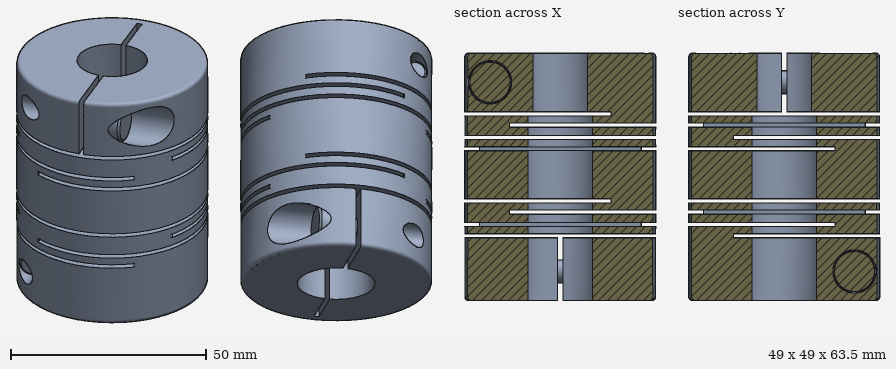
import cadquery as cq

OUTER_DIAMETER = 49.0
LENGTH = 63.5
RIM_FILLET = 1.0
UPPER_BORE_DIAMETER = 18.0
LOWER_BORE_DIAMETER = 20.0

CUT_THICKNESS = 1.0
CUT_PITCH = 2.9
AXIS_CHANGE_PITCH = 3.15
WEB_FACE_OFFSET = 13.0
UPPER_HUB_LENGTH = 15.1
LOWER_HUB_LENGTH = 16.15

SLOT_WIDTH = 1.3
SLOT_END_OFFSET = 21.5

SCREW_OFFSET = 18.0
SCREW_END_DISTANCE = 7.5
SCREW_DIAMETER = 6.0
SHANK_LENGTH = 16.4
TIP_CHAMFER = 0.6
HEAD_DIAMETER = 10.4
HEAD_HEIGHT = 6.0
HEAD_CHAMFER = 0.6
COUNTERBORE_DIAMETER = 11.0
COUNTERBORE_FLOOR = 3.85

OUTER_RADIUS = OUTER_DIAMETER / 2
UPPER_HUB_BOTTOM = LENGTH - UPPER_HUB_LENGTH
CUT_LEVELS = (
    0,
    CUT_PITCH,
    CUT_PITCH + AXIS_CHANGE_PITCH,
    2 * CUT_PITCH + AXIS_CHANGE_PITCH,
)
UPPER_GROUP_BOTTOM = UPPER_HUB_BOTTOM - CUT_THICKNESS - CUT_LEVELS[-1]

WEB_AT_PLUS_X = 0
WEB_AT_PLUS_Y = 90
WEB_AT_MINUS_X = 180
WEB_AT_MINUS_Y = 270
LOWER_WEBS = (WEB_AT_PLUS_X, WEB_AT_MINUS_X, WEB_AT_MINUS_Y, WEB_AT_PLUS_Y)
UPPER_WEBS = (WEB_AT_MINUS_X, WEB_AT_PLUS_X, WEB_AT_MINUS_Y, WEB_AT_PLUS_Y)


def make_body():
    """Round body with filleted rims and a bore that steps at the upper hub."""
    body = cq.Workplane("XY").circle(OUTER_RADIUS).extrude(LENGTH)
    body = body.edges().fillet(RIM_FILLET)
    lower_bore = cq.Workplane("XY").circle(LOWER_BORE_DIAMETER / 2).extrude(UPPER_HUB_BOTTOM)
    upper_bore = cq.Workplane("XY").circle(UPPER_BORE_DIAMETER / 2).extrude(LENGTH)
    return body.cut(lower_bore).cut(upper_bore)


def flexure_cut(bottom, web_angle):
    """Flat cut across the body; its web lies at web_angle degrees from +X."""
    depth = OUTER_RADIUS + WEB_FACE_OFFSET
    return (
        cq.Workplane("XY")
        .box(depth, OUTER_DIAMETER, CUT_THICKNESS, centered=(False, True, False))
        .translate((-OUTER_RADIUS, 0, bottom))
        .rotate((0, 0, 0), (0, 0, 1), web_angle)
    )


def cut_flexures(body, group_bottom, web_angles):
    """Cut two opposed pairs, listed upwards; the pairs are at right angles."""
    for level, web_angle in zip(CUT_LEVELS, web_angles):
        body = body.cut(flexure_cut(group_bottom + level, web_angle))
    return body


def clamp_slot(bottom, height):
    """Radial slot open at -Y, running through the bore to a blind end at +Y."""
    return (
        cq.Workplane("XY")
        .box(SLOT_WIDTH, OUTER_RADIUS + SLOT_END_OFFSET, height, centered=(True, False, False))
        .translate((0, -OUTER_RADIUS, bottom))
    )


def rod_along_x(diameter, start, length, height):
    """Cylinder on the screw axis, running towards +X from start."""
    return (
        cq.Workplane("YZ", origin=(start, -SCREW_OFFSET, height))
        .circle(diameter / 2)
        .extrude(length)
    )


def screw_hole(height):
    """Through hole for the shank with a counterbore open at +X."""
    shank_hole = rod_along_x(SCREW_DIAMETER, -OUTER_RADIUS, OUTER_DIAMETER, height)
    counterbore = rod_along_x(COUNTERBORE_DIAMETER, COUNTERBORE_FLOOR, OUTER_RADIUS, height)
    return shank_hole.union(counterbore)


def clamp_screw(height):
    """Cap screw seated on the counterbore floor, its tip pointing to -X."""
    shank = rod_along_x(SCREW_DIAMETER, COUNTERBORE_FLOOR - SHANK_LENGTH, SHANK_LENGTH, height)
    shank = shank.faces("<X").chamfer(TIP_CHAMFER)
    head = rod_along_x(HEAD_DIAMETER, COUNTERBORE_FLOOR, HEAD_HEIGHT, height)
    head = head.faces(">X").chamfer(HEAD_CHAMFER)
    return shank.union(head)


def swap_x_and_y(shape):
    """Reflect in the plane X = Y, which turns the upper clamp into the lower one."""
    return shape.mirror("XZ").rotate((0, 0, 0), (0, 0, 1), 90)


def add_upper_clamp(body):
    """Slot the upper hub along Y and fit its screw along X."""
    height = LENGTH - SCREW_END_DISTANCE
    body = body.cut(clamp_slot(UPPER_HUB_BOTTOM, UPPER_HUB_LENGTH))
    return body.cut(screw_hole(height)).union(clamp_screw(height))


def add_lower_clamp(body):
    """Slot the lower hub along X and fit its screw along Y."""
    height = SCREW_END_DISTANCE
    body = body.cut(swap_x_and_y(clamp_slot(0, LOWER_HUB_LENGTH)))
    return body.cut(swap_x_and_y(screw_hole(height))).union(swap_x_and_y(clamp_screw(height)))


result = make_body()
result = cut_flexures(result, LOWER_HUB_LENGTH, LOWER_WEBS)
result = cut_flexures(result, UPPER_GROUP_BOTTOM, UPPER_WEBS)
result = add_upper_clamp(result)
result = add_lower_clamp(result)